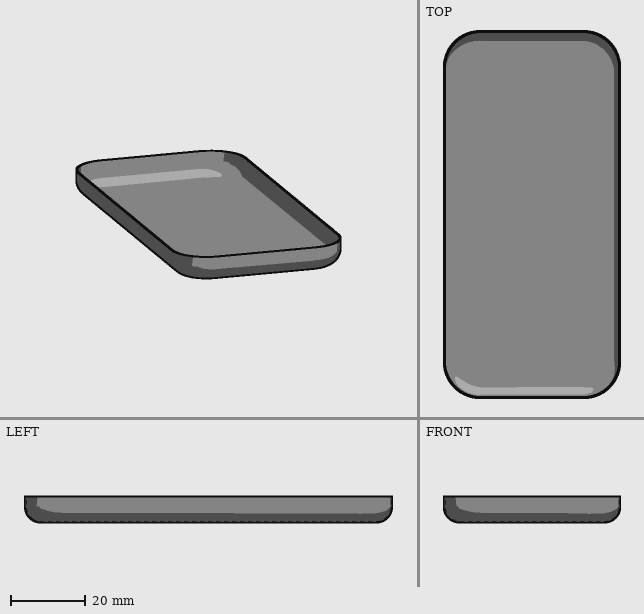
import cadquery as cq

width = 47.68
length = 99.11
height = 7.11

corner_radius = 9.935
wall = 0.4
edge_radius = 4.365

inner_corner_radius = corner_radius - wall
inner_edge_radius = edge_radius - wall


def rounded_block(size_x, size_y, bottom_z, vertical_radius, bottom_radius):
    """Block from bottom_z up to the rim, with round corners and a round bottom edge."""
    return (
        cq.Workplane("XY")
        .workplane(offset=bottom_z)
        .rect(size_x, size_y)
        .extrude(height - bottom_z)
        .edges("|Z")
        .fillet(vertical_radius)
        .faces("<Z")
        .edges()
        .fillet(bottom_radius)
    )


outer_body = rounded_block(width, length, 0, corner_radius, edge_radius)
cavity = rounded_block(
    width - 2 * wall,
    length - 2 * wall,
    wall,
    inner_corner_radius,
    inner_edge_radius,
)

result = outer_body.cut(cavity)